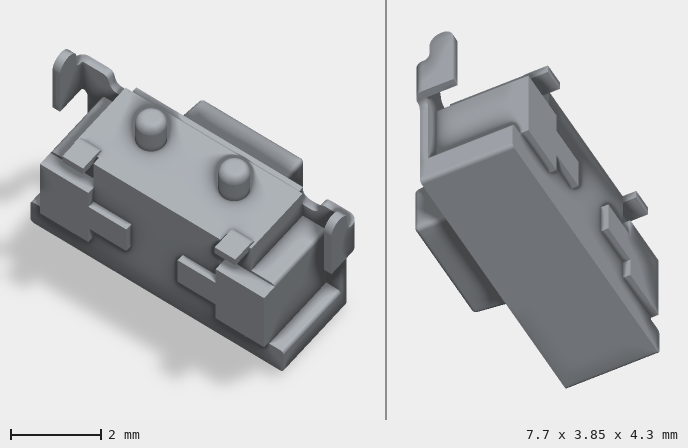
import cadquery as cq


BODY_WIDTH = 6.99
BODY_DEPTH = 2.32
BODY_TOP = 3.5
SHOULDER_WIDTH = 6.19
SHOULDER_TOP = 2.695
LEDGE_TOP = 0.75
HEAD_WIDTH = 4.89
EDGE_ROUND = 0.1

SHEET = 0.21
SPAN = 7.7
PLATE_TOP = 3.52
ARM_BOTTOM = 2.525
ARM_TOP = 4.22
ARM_FRONT = 1.025
ARM_WIDTH = 0.6
BEND_INNER = 0.05
BEND_OUTER = BEND_INNER + SHEET
CORNER_ROUND = 0.15

NOTCH_INNER = 2.3
NOTCH_FLOOR_OUTER = 2.83
NOTCH_TOP_OUTER = 2.95
NOTCH_FLOOR = 3.1
NOTCH_LIP_ROUND = 0.15
NOTCH_FLOOR_ROUND = 0.2
PLATE_MIDDLE_TOP = 3.4

BUTTON_WIDTH = 3.0
BUTTON_HEIGHT = 1.5
BUTTON_LENGTH = 1.23
BUTTON_CENTER_Z = 1.755
BUTTON_TAPER = 3.8

PIN_SPACING = 2.295
PIN_DIAMETER = 0.71
PIN_SETBACK = 1.0
PIN_TOP = 4.3
PIN_ROUND = 0.2

TERMINAL_INNER = 1.755
TERMINAL_BACK = 2.11
TERMINAL_FRONT = 2.5
TERMINAL_BOTTOM = 0.81
TERMINAL_TOP = 2.62
TONGUE_INNER = 0.71
TONGUE_BOTTOM = 1.32
TONGUE_TOP = 2.11

TAB_INNER = 1.82
TAB_OUTER = 2.39
TAB_BACK = 1.88
TAB_FRONT = 2.62
TAB_BOTTOM = 3.38
TAB_TOP = 3.595
TAB_BEND = 0.2


def block(x0, x1, depth0, depth1, z0, z1):
    """Box between two X, two depths measured toward -Y, and two Z."""
    box = cq.Workplane("XY").box(x1 - x0, depth1 - depth0, z1 - z0, centered=False)
    return box.translate((x0, -depth1, z0))


def centered_block(width, depth0, depth1, z0, z1):
    return block(-width / 2, width / 2, depth0, depth1, z0, z1)


def both_sides(right_half):
    return right_half.union(right_half.mirror("YZ"))


def make_housing():
    base = centered_block(BODY_WIDTH, 0, BODY_DEPTH, 0, LEDGE_TOP)
    base = base.edges("|Y").fillet(EDGE_ROUND)
    shoulder = centered_block(SHOULDER_WIDTH, SHEET, BODY_DEPTH, 0, SHOULDER_TOP)
    shoulder = shoulder.edges("|Y and >Z").fillet(EDGE_ROUND)
    head = centered_block(HEAD_WIDTH, SHEET, BODY_DEPTH, 0, BODY_TOP)
    corner_recess = block(
        TERMINAL_INNER, SHOULDER_WIDTH / 2, TERMINAL_BACK, BODY_DEPTH, TERMINAL_BOTTOM, BODY_TOP
    )
    return base.union(shoulder).union(head).cut(both_sides(corner_recess))


def make_notch():
    """Cutter for the right notch: upright inner wall, slanted outer wall, rounded floor corners."""
    return (
        cq.Workplane("XZ")
        .moveTo(NOTCH_INNER, PLATE_TOP)
        .lineTo(NOTCH_INNER, NOTCH_FLOOR)
        .lineTo(NOTCH_FLOOR_OUTER, NOTCH_FLOOR)
        .lineTo(NOTCH_TOP_OUTER, PLATE_TOP)
        .close()
        .extrude(SHEET)
        .edges("|Y and <Z")
        .fillet(NOTCH_FLOOR_ROUND)
    )


def make_panel():
    panel = centered_block(BODY_WIDTH, 0, SHEET, 0, PLATE_TOP)
    panel = panel.edges("|Y and <Z").fillet(EDGE_ROUND)
    panel = panel.cut(both_sides(make_notch()))
    panel = panel.cut(centered_block(2 * NOTCH_INNER, 0, SHEET, PLATE_MIDDLE_TOP, PLATE_TOP))
    lips = panel.edges("|Y and >Z").filter(lambda edge: abs(edge.Center().x) < BODY_WIDTH / 2 - SHEET)
    return panel.newObject(lips.vals()).fillet(NOTCH_LIP_ROUND)


def make_arm():
    """Right arm: the wing of the plate, folded forward and ending in a rounded finger."""
    arm_back = ARM_FRONT - ARM_WIDTH
    arm_round = ARM_WIDTH / 2
    finger_shoulder = ARM_TOP - arm_round
    arm_profile = (
        cq.Workplane("YZ")
        .moveTo(0, ARM_BOTTOM)
        .lineTo(-ARM_FRONT, ARM_BOTTOM)
        .lineTo(-ARM_FRONT, finger_shoulder)
        .threePointArc((-ARM_FRONT + arm_round, ARM_TOP), (-arm_back, finger_shoulder))
        .lineTo(-arm_back, PLATE_TOP + CORNER_ROUND)
        .radiusArc((-arm_back + CORNER_ROUND, PLATE_TOP), -CORNER_ROUND)
        .lineTo(0, PLATE_TOP)
        .close()
        .extrude(SPAN / 2)
    )
    wing_start = BODY_WIDTH / 2 - SHEET
    folded_strip = block(wing_start, SPAN / 2, 0, ARM_FRONT, ARM_BOTTOM, ARM_TOP)
    folded_strip = folded_strip.edges("|Z and >X and >Y").fillet(BEND_OUTER)
    fold_inside = block(wing_start, SPAN / 2 - SHEET, SHEET, ARM_FRONT, ARM_BOTTOM, ARM_TOP)
    fold_inside = fold_inside.edges("|Z and >X and >Y").fillet(BEND_INNER)
    return folded_strip.cut(fold_inside).intersect(arm_profile)


def make_gusset():
    """Concave round where the underside of the right wing meets the edge of the plate."""
    panel_side = BODY_WIDTH / 2
    gusset = block(panel_side, panel_side + CORNER_ROUND, 0, SHEET, ARM_BOTTOM - CORNER_ROUND, ARM_BOTTOM)
    gusset_cutter = (
        cq.Workplane("XZ")
        .center(panel_side + CORNER_ROUND, ARM_BOTTOM - CORNER_ROUND)
        .circle(CORNER_ROUND)
        .extrude(SHEET)
    )
    return gusset.cut(gusset_cutter)


def make_plate():
    return make_panel().union(both_sides(make_arm().union(make_gusset())))


def make_button():
    """Tapered button rising toward +Y, rounded everywhere except where it meets the plate."""
    button = (
        cq.Workplane("XZ", origin=(0, 0, BUTTON_CENTER_Z))
        .rect(BUTTON_WIDTH, BUTTON_HEIGHT)
        .extrude(-BUTTON_LENGTH, taper=BUTTON_TAPER)
    )
    return button.edges("not <Y").fillet(EDGE_ROUND)


def make_pins():
    pins = (
        cq.Workplane("XY", origin=(0, -PIN_SETBACK, SHOULDER_TOP))
        .rarray(PIN_SPACING, 0.08, 2, 1)
        .circle(PIN_DIAMETER / 2)
        .extrude(PIN_TOP - SHOULDER_TOP)
    )
    return pins.faces(">Z").edges().fillet(PIN_ROUND)


def make_terminals():
    pad = block(
        TERMINAL_INNER, SHOULDER_WIDTH / 2, TERMINAL_BACK, TERMINAL_FRONT, TERMINAL_BOTTOM, TERMINAL_TOP
    )
    tongue = block(TONGUE_INNER, TERMINAL_INNER, BODY_DEPTH, TERMINAL_FRONT, TONGUE_BOTTOM, TONGUE_TOP)
    tab = block(TAB_INNER, TAB_OUTER, TAB_BACK, TAB_FRONT, TAB_BOTTOM, TAB_TOP)
    tab = tab.edges("|X and >Y and >Z").fillet(TAB_BEND)
    return both_sides(pad.union(tongue)).union(both_sides(tab))


result = make_housing()
for feature in (make_plate(), make_button(), make_pins(), make_terminals()):
    result = result.union(feature)